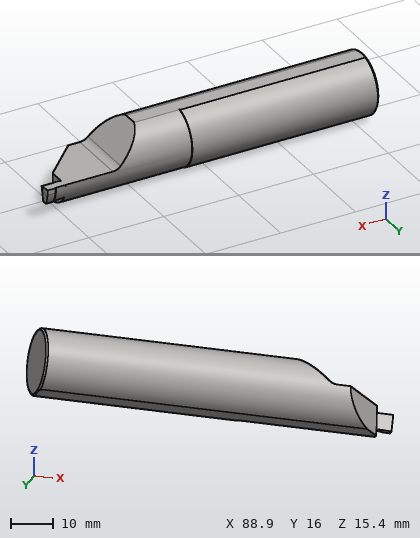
import cadquery as cq
import math

shank_radius = 8.0
flat_height = 7.7
shank_end_chamfer = 0.45

relief_start = 50.0
relief_shift = 0.3

ramp_start = 62.1
ramp_fillet = 3.0
ramp_end = ramp_start + flat_height
head_end = 83.7
end_clearance_angle = 3.0
nose_chamfer = 9.5

part_length = 88.9
tip_inner_y = 5.4
tip_outer_y = 7.9
nose_start = 86.4
nose_setback = 0.3
tip_root_depth = 4.1
tip_front_depth = 4.3
tip_front_clearance = 0.45

margin = 4.45
body_edge_y = shank_radius - relief_shift


def bar(start, end, shift=0.0):
    """Flatted round bar along X between two stations, shifted toward -Y."""
    section = cq.Workplane("YZ", origin=(start, -shift, 0))
    flats = section.rect(2 * shank_radius, 2 * flat_height).extrude(end - start)
    return section.circle(shank_radius).extrude(end - start).intersect(flats)


def side_cutter(outline):
    """Solid from an XZ outline, running across the full width of the part."""
    return outline.extrude(shank_radius + margin, both=True)


def end_chamfer_cone():
    """Round envelope that bevels the shank's -X end."""
    envelope = cq.Workplane("YZ").circle(shank_radius).extrude(head_end)
    return envelope.faces("<X").chamfer(shank_end_chamfer)


def make_body():
    full = bar(0, head_end).intersect(end_chamfer_cone())
    relieved = bar(0, head_end, relief_shift)
    relieved_stretch = full.intersect(relieved)
    plain_stretch = full.intersect(bar(0, relief_start))
    return plain_stretch.union(relieved_stretch)


def top_cutter():
    """Space above the flat, the ramp and the rake face."""
    top = shank_radius + margin
    far_end = part_length + margin
    outline = (
        cq.Workplane("XZ")
        .moveTo(-margin, flat_height)
        .lineTo(ramp_start, flat_height)
        .lineTo(ramp_end, 0)
        .lineTo(far_end, 0)
        .lineTo(far_end, top)
        .lineTo(-margin, top)
        .close()
    )
    ramp_foot = cq.selectors.NearestToPointSelector((ramp_end, 0, 0))
    return side_cutter(outline).edges(ramp_foot).fillet(ramp_fillet)


def end_cutter():
    """Leans the head's end face back below the rake face."""
    setback = shank_radius * math.tan(math.radians(end_clearance_angle))
    outline = (
        cq.Workplane("XZ")
        .moveTo(head_end, 0)
        .lineTo(head_end - setback, -shank_radius)
        .lineTo(head_end, -shank_radius)
        .close()
    )
    return side_cutter(outline)


def nose_cutter():
    """Removes the 45 degree corner on the -Y side of the head."""
    return (
        cq.Workplane("XY", origin=(0, 0, -shank_radius))
        .moveTo(head_end - nose_chamfer, -shank_radius)
        .lineTo(head_end, nose_chamfer - shank_radius)
        .lineTo(head_end, -shank_radius)
        .close()
        .extrude(shank_radius)
    )


def make_tip():
    """Narrow tip: a relieved stem with a proud nose, its outer side rounded like the shank."""
    plan = (
        cq.Workplane("XY")
        .moveTo(head_end - margin, tip_inner_y)
        .lineTo(part_length, tip_inner_y)
        .lineTo(part_length - nose_setback, tip_outer_y)
        .lineTo(nose_start, tip_outer_y)
        .lineTo(nose_start, body_edge_y)
        .lineTo(head_end, body_edge_y)
        .lineTo(head_end - margin, tip_inner_y)
        .close()
        .extrude(-tip_front_depth)
    )
    profile = (
        cq.Workplane("XZ")
        .moveTo(head_end - margin, 0)
        .lineTo(part_length, 0)
        .lineTo(part_length - tip_front_clearance, -tip_front_depth)
        .lineTo(head_end, -tip_root_depth)
        .lineTo(head_end - margin, -tip_root_depth)
        .close()
    )
    stem = bar(head_end - margin, nose_start, relief_shift)
    nose = bar(nose_start, part_length)
    return plan.intersect(side_cutter(profile)).intersect(stem.union(nose))


body = make_body().cut(top_cutter()).cut(end_cutter()).cut(nose_cutter())
result = body.union(make_tip())